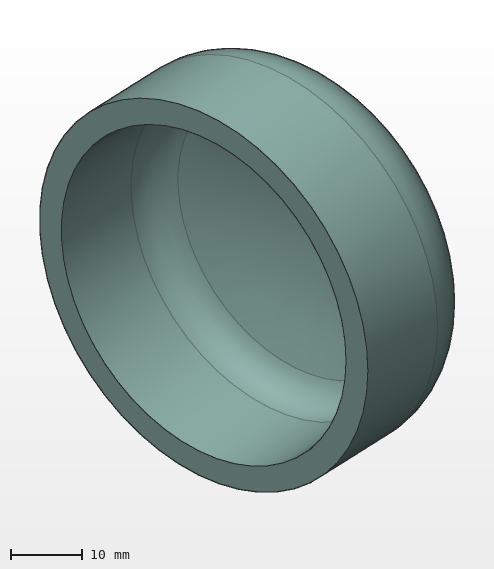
import cadquery as cq
import math

outer_diameter = 60.3
inner_diameter = 52.3
cap_height = 28.7
skirt_height = 14.95
knuckle_radius = 10.0

outer_radius = outer_diameter / 2
wall = outer_radius - inner_diameter / 2
dome_height = cap_height - skirt_height

knuckle_offset = outer_radius - knuckle_radius
crown_radius = (dome_height**2 + knuckle_offset**2 - knuckle_radius**2) / (
    2 * (dome_height - knuckle_radius)
)
crown_centre = cap_height - crown_radius
crown_angle = math.asin(knuckle_offset / (crown_radius - knuckle_radius))


def dished_body(inset):
    """Solid of revolution about Y: skirt, knuckle and crown, all moved inwards by inset."""
    crown = crown_radius - inset
    knuckle = knuckle_radius - inset
    skirt = outer_radius - inset

    def on_crown(angle):
        return (crown * math.sin(angle), crown_centre + crown * math.cos(angle))

    knuckle_angle = (math.pi / 2 + crown_angle) / 2
    knuckle_middle = (
        knuckle_offset + knuckle * math.sin(knuckle_angle),
        skirt_height + knuckle * math.cos(knuckle_angle),
    )
    return (
        cq.Workplane("XY")
        .lineTo(skirt, 0)
        .lineTo(skirt, skirt_height)
        .threePointArc(knuckle_middle, on_crown(crown_angle))
        .threePointArc(on_crown(crown_angle / 2), on_crown(0))
        .close()
        .revolve(360, (0, 0, 0), (0, 1, 0))
    )


result = dished_body(0).cut(dished_body(wall))